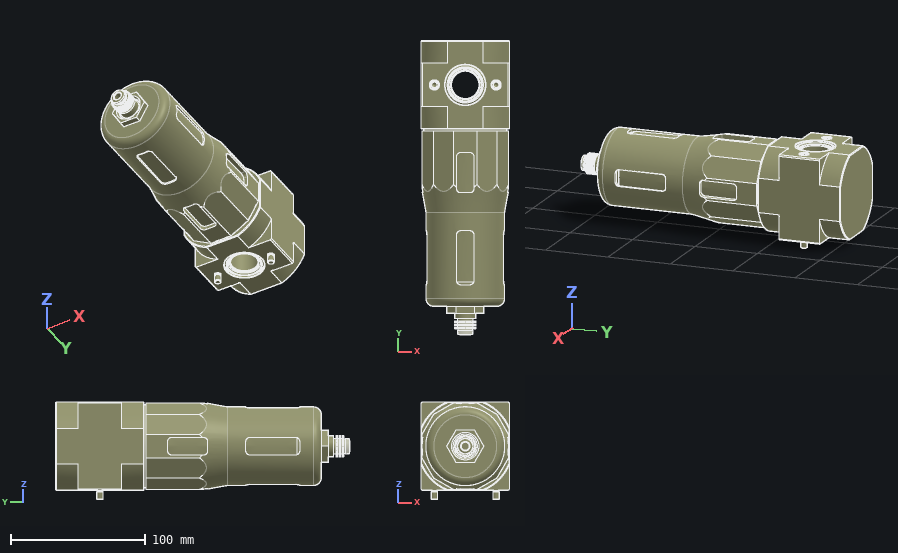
import cadquery as cq
import math


head_size = 66.0
head_half = head_size / 2
head_round_radius = 35.6
centre_block_length = 32.4
block_edge_chamfer = 1.0
end_edge_chamfer = 0.6
port_bore_diameter = 20.4
port_step_diameter = 22.0
port_step_depth = 1.0
port_floor_diameter = 24.0
port_countersink_diameter = 25.4
port_lip_diameter = 27.0
port_recess_diameter = 30.0
port_mouth_diameter = 30.8
port_mouth_chamfer = (port_mouth_diameter - port_recess_diameter) / 2
port_recess_depth = 2.0
port_lip_depth = 0.8

hex_sides = 6

screw_offset = 23.0
screw_diameter = 5.0
screw_head_diameter = 7.0
screw_head_depth = 5.0
screw_head_sink = 0.5
screw_head_chamfer = 0.5
screw_hole_chamfer = 0.3
screw_neck_diameter = 3.7
screw_neck_top = -32.0
screw_neck_bottom = -33.6
screw_tip = -39.8
screw_tip_chamfer = 0.5
screw_neck_taper = (screw_diameter - screw_neck_diameter) / 2
socket_depth = 2.5
socket_across_flats = 4.0
socket_cone_diameter = 4.13
socket_cone_depth = 1.2

neck_start = -head_half
guard_start = -34.3
facet_end = -74.2
taper_middle = -85.5
taper_end = -95.0
bowl_end = -165.0

neck_diameter = 62.0
facet_count = 12
guard_across_flats = 64.6
guard_corner_radius = guard_across_flats / 2 / math.cos(math.pi / facet_count)
taper_middle_radius = 31.05
sleeve_radius = 58.8 / 2
bowl_end_fillet = 6.0

window_width = 13.0
window_corner_radius = 3.0
upper_window = (-50.4, -80.3)
lower_window = (-108.6, -148.9)
inner_bowl_start_radius = 29.3
inner_bowl_end_radius = 27.5
inner_bowl_start = upper_window[0]
inner_bowl_end = -146.9
inner_bowl_tail_diameter = 54.0

hex_across_flats = 24.0
hex_end = -170.1
collar_recess_diameter = 18.0
collar_recess_mouth_diameter = 20.4
collar_recess_depth = 2.0
collar_diameter = 15.8
collar_end = -174.0
drain_core_diameter = 11.8
drain_waist_diameter = 11.0
waist_end = -183.0
lip_end = -184.1
nose_diameter = 11.4
drain_end = -186.22
nose_slope_height = 0.5
drain_bore_diameter = 6.0
drain_bore_mouth_diameter = 7.0
drain_bore_depth = 10.0
drain_bore_chamfer = (drain_bore_mouth_diameter - drain_bore_diameter) / 2
barb_spans = [(-175.7, -177.2), (-178.4, -179.3), (-180.4, -181.9)]
barb_tip_chamfer = 0.4
barb_notch_count = 24
barb_notch_width = 1.0


def disc(start, end, diameter, end_diameter=None):
    """Cylinder or cone frustum around the Y axis, from y = start down to y = end."""
    end_radius = (end_diameter or diameter) / 2
    return (
        cq.Workplane("XY")
        .polyline([(0, start), (diameter / 2, start), (end_radius, end), (0, end)])
        .close()
        .revolve(360, (0, 0, 0), (0, 1, 0))
    )


def post(bottom, top, diameter):
    """Cylinder around the Z axis, from z = bottom up to z = top."""
    return cq.Workplane("XY").workplane(offset=bottom).circle(diameter / 2).extrude(top - bottom)


def make_head():
    block = cq.Workplane("XY").box(head_size, head_size, head_size)
    rounded = block.intersect(
        disc(head_half, -head_half, 2 * head_round_radius).faces("<Y or >Y").chamfer(end_edge_chamfer)
    ).intersect(block.faces("<Y or >Y").chamfer(end_edge_chamfer))
    centre = cq.Workplane("XY").box(head_size, centre_block_length, head_size)
    head = rounded.union(centre.edges("|Y").chamfer(block_edge_chamfer))
    head = head.cut(post(-head_half, head_half, port_bore_diameter))
    mouth = make_port_mouth()
    head = head.cut(mouth).cut(mouth.mirror("XY"))
    for side in (-1, 1):
        head = head.cut(make_screw_hole().translate((side * screw_offset, 0, 0)))
    return head


def make_port_mouth():
    """Stepped recess at the +Z end of the port: a tapered groove around a countersunk lip."""
    top = head_half
    lip_top = top - port_lip_depth
    floor = top - port_recess_depth
    profile = [
        (0, top),
        (port_mouth_diameter / 2, top),
        (port_recess_diameter / 2, top - port_mouth_chamfer),
        (port_recess_diameter / 2, floor),
        (port_lip_diameter / 2, lip_top),
        (port_countersink_diameter / 2, lip_top),
        (port_floor_diameter / 2, floor),
        (port_step_diameter / 2, floor),
        (port_step_diameter / 2, floor - port_step_depth),
        (0, floor - port_step_depth),
    ]
    return cq.Workplane("XZ").polyline(profile).close().revolve(360, (0, 0, 0), (0, 1, 0))


def make_screw_hole():
    seat = head_half - screw_head_sink - screw_head_depth
    counterbore = post(seat, head_half, screw_head_diameter)
    countersink = cq.Workplane(
        cq.Solid.makeCone(
            screw_head_diameter / 2, screw_head_diameter / 2 + screw_hole_chamfer, screw_hole_chamfer
        )
    ).translate((0, 0, head_half - screw_hole_chamfer))
    return post(-head_half, head_half, screw_diameter).union(counterbore).union(countersink)


def make_screw():
    top = head_half - screw_head_sink
    seat = top - screw_head_depth
    head = post(seat, top, screw_head_diameter).faces(">Z").chamfer(screw_head_chamfer)
    shank = post(screw_neck_top, seat, screw_diameter)
    neck = post(screw_neck_bottom, screw_neck_top, screw_neck_diameter)
    tip = (
        post(screw_tip, screw_neck_bottom, screw_diameter)
        .faces(">Z").chamfer(screw_neck_taper)
        .faces("<Z").chamfer(screw_tip_chamfer)
    )
    socket_floor = top - socket_depth
    socket = (
        cq.Workplane("XY").workplane(offset=socket_floor)
        .polygon(hex_sides, socket_across_flats, circumscribed=True).extrude(socket_depth)
    )
    cone = cq.Workplane(
        cq.Solid.makeCone(0, socket_cone_diameter / 2, socket_cone_depth)
    ).translate((0, 0, socket_floor - socket_cone_depth))
    return head.union(shank).union(neck).union(tip).cut(socket).cut(cone)


def make_guard():
    """Neck, twelve-sided grip, taper and round sleeve of the bowl guard."""
    turned = (
        cq.Workplane("XY")
        .moveTo(0, guard_start)
        .lineTo(guard_corner_radius, guard_start)
        .lineTo(guard_corner_radius, facet_end)
        .threePointArc((taper_middle_radius, taper_middle), (sleeve_radius, taper_end))
        .lineTo(sleeve_radius, bowl_end + bowl_end_fillet)
        .radiusArc((sleeve_radius - bowl_end_fillet, bowl_end), bowl_end_fillet)
        .lineTo(0, bowl_end)
        .close()
        .revolve(360, (0, 0, 0), (0, 1, 0))
    )
    prism = (
        cq.Workplane("XZ", origin=(0, guard_start, 0))
        .transformed(rotate=(0, 0, 180 / facet_count))
        .polygon(facet_count, 2 * guard_corner_radius)
        .extrude(guard_start - bowl_end)
    )
    return turned.intersect(prism).union(disc(neck_start, guard_start, neck_diameter))


def make_window(span):
    """Window opening on the +Z side, down to the inner bowl."""
    start, end = span
    opening = (
        cq.Workplane("XY", origin=(0, (start + end) / 2, 0))
        .rect(window_width, start - end)
        .extrude(guard_across_flats)
        .edges("|Z").fillet(window_corner_radius)
    )
    inner_bowl = disc(
        inner_bowl_start, inner_bowl_end, 2 * inner_bowl_start_radius, 2 * inner_bowl_end_radius
    )
    inner_bowl = inner_bowl.union(disc(inner_bowl_end, lower_window[1], inner_bowl_tail_diameter))
    return opening.cut(inner_bowl)


def make_barb(start, end):
    """One notched ring of the hose connection; the ring nearest the tip has a chamfered edge."""
    barb = disc(start, end, collar_diameter)
    if (start, end) == barb_spans[-1]:
        barb = barb.faces("<Y").chamfer(barb_tip_chamfer)
    depth = (collar_diameter - drain_core_diameter) / 2
    for i in range(barb_notch_count):
        notch = cq.Workplane("XY").box(barb_notch_width, start - end, depth)
        notch = notch.translate((0, (start + end) / 2, collar_diameter / 2))
        barb = barb.cut(notch.rotate((0, 0, 0), (0, 1, 0), i * 360 / barb_notch_count))
    return barb


def make_drain():
    nut = (
        cq.Workplane("XZ", origin=(0, bowl_end, 0))
        .transformed(rotate=(0, 0, 180 / hex_sides))
        .polygon(hex_sides, hex_across_flats, circumscribed=True).extrude(bowl_end - hex_end)
    )
    recess = disc(
        hex_end + collar_recess_depth, hex_end, collar_recess_diameter, collar_recess_mouth_diameter
    )
    drain = nut.cut(recess)
    drain = drain.union(disc(bowl_end, collar_end, collar_diameter))
    barbs_end = barb_spans[-1][1]
    drain = drain.union(disc(collar_end, barbs_end, drain_core_diameter))
    drain = drain.union(disc(barbs_end, waist_end, drain_waist_diameter))
    drain = drain.union(disc(waist_end, lip_end, drain_core_diameter))
    nose_edge = drain_end + nose_slope_height
    drain = drain.union(disc(lip_end, nose_edge, nose_diameter))
    drain = drain.union(disc(nose_edge, drain_end, nose_diameter, drain_bore_mouth_diameter))
    for start, end in barb_spans:
        drain = drain.union(make_barb(start, end))
    bore = disc(drain_end + drain_bore_depth, drain_end, drain_bore_diameter)
    bore_mouth = disc(
        drain_end + drain_bore_chamfer, drain_end, drain_bore_diameter, drain_bore_mouth_diameter
    )
    return drain.cut(bore).cut(bore_mouth)


def make_bowl():
    bowl = make_guard()
    for span in (upper_window, lower_window):
        window = make_window(span)
        for quarter in range(4):
            bowl = bowl.cut(window.rotate((0, 0, 0), (0, 1, 0), quarter * 90))
    return bowl.union(make_drain())


head = make_head()
bowl = make_bowl()
screws = [make_screw().translate((side * screw_offset, 0, 0)) for side in (-1, 1)]

result = cq.Compound.makeCompound([head.val(), bowl.val(), *[screw.val() for screw in screws]])